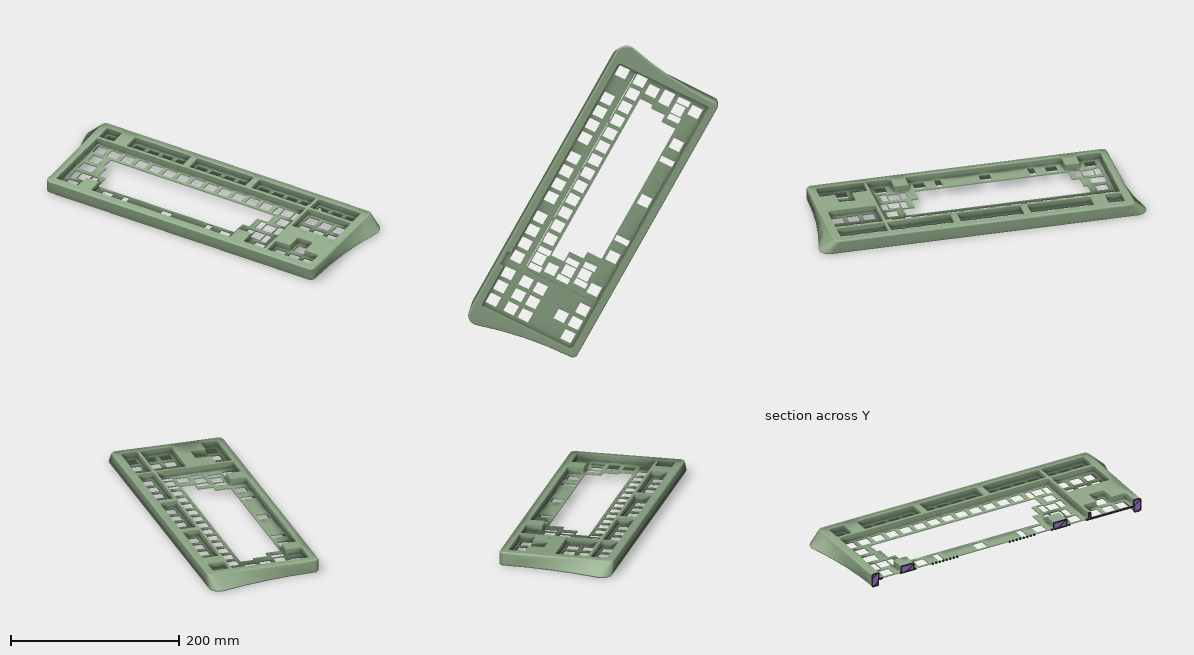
import cadquery as cq
import math

overall_width = 401.11
depth = 140.01
height = 17.0
body_width = 368.3
edge_fillet = 2.0
body_corner_radius = 6.05
wing_corner_radius = 13.15
foot_height = 2.05

unit = 19.05
switch_hole = 14.0
grid_columns = 18.25
function_gap = 0.25
pocket_margin = 0.72
ledge_margin = 0.475
ledge_height = 0.75
pocket_corner_radius = 1.665

plate_top = 9.0
plate_thickness = 1.5
plate_bottom = plate_top - plate_thickness
alpha_inset = 1.05

overcut = 1.0

cavity_width = 352.0
cavity_depth = 122.0
cavity_corner_radius = 4.05
notch_width = 20.0
notch_depth = 4.5
notch_column = 14.35

stabilizer_width = 7.86
stabilizer_short = 7.0
stabilizer_long = 9.0
stabilizer_offset = 11.94
spacebar_offset = 57.15

flex_width = 1.0
flex_end_gap = 3.7
flex_bridge = 4.8
top_slot_count = 4
space_slot_length = 66.0
alt_slot_length = 16.5

ESC_X = -(grid_columns - 1) * unit / 2
NAV_COLUMN = 15.25
ROW_DROPS = [0, 1 + function_gap, 2 + function_gap, 3 + function_gap, 4 + function_gap, 5 + function_gap]
FUNCTION, NUMBER, TAB, HOME, SHIFT, BOTTOM = range(6)
MAIN_COLUMNS = 15


def key_x(column):
    return ESC_X + column * unit


def key_y(row):
    return (ROW_DROPS[BOTTOM] / 2 - ROW_DROPS[row]) * unit


def box(x_min, x_max, y_min, y_max, z_min, z_max):
    """Axis-aligned block between the given limits."""
    size = (x_max - x_min, y_max - y_min, z_max - z_min)
    return cq.Workplane("XY").box(*size, centered=False).translate((x_min, y_min, z_min))


def through_plate(x_min, x_max, y_min, y_max):
    """Cutter through the switch plate only."""
    return box(x_min, x_max, y_min, y_max, plate_bottom - overcut, plate_top + overcut)


def cell_block(first, last, top_row, bottom_row, margin, floor):
    """Cutter around the 1u cells from column first to last, open above the floor."""
    reach = unit / 2 + margin
    block = box(
        key_x(first) - reach,
        key_x(last) + reach,
        key_y(bottom_row) - reach,
        key_y(top_row) + reach,
        floor,
        height + overcut,
    )
    return block.edges("|Z").fillet(pocket_corner_radius)


def body_outline(z):
    """Rounded rectangle of the top rim, drawn corner by corner."""
    x = body_width / 2
    y = depth / 2
    r = body_corner_radius
    bend = r * (1 - math.sqrt(0.5))
    return (
        cq.Workplane("XY", origin=(0, 0, z))
        .moveTo(-x + r, -y)
        .lineTo(x - r, -y)
        .threePointArc((x - bend, -y + bend), (x, -y + r))
        .lineTo(x, y - r)
        .threePointArc((x - bend, y - bend), (x - r, y))
        .lineTo(-x + r, y)
        .threePointArc((-x + bend, y - bend), (-x, y - r))
        .lineTo(-x, -y + r)
        .threePointArc((-x + bend, -y + bend), (-x + r, -y))
        .close()
    )


def wing_outline(z):
    """Body outline whose sides sweep outwards in hollow arcs to large rear corners."""
    x = body_width / 2
    y = depth / 2
    r = body_corner_radius
    bend = r * (1 - math.sqrt(0.5))
    big = wing_corner_radius
    corner_x = overall_width / 2 - big
    corner_y = y - big
    rise = corner_y - (-y + r)
    flare = corner_x - x
    flank_radius = (rise**2 + flare**2 - big**2) / (2 * (big + flare))
    sweep = math.asin(rise / (flank_radius + big))
    flank_x = x + flank_radius
    flank_mid = (
        flank_x - flank_radius * math.cos(sweep / 2),
        -y + r + flank_radius * math.sin(sweep / 2),
    )
    flank_end = (corner_x + big * math.cos(sweep), corner_y - big * math.sin(sweep))
    corner_angle = (math.pi / 2 - sweep) / 2
    corner_mid = (corner_x + big * math.cos(corner_angle), corner_y + big * math.sin(corner_angle))
    return (
        cq.Workplane("XY", origin=(0, 0, z))
        .moveTo(-x + r, -y)
        .lineTo(x - r, -y)
        .threePointArc((x - bend, -y + bend), (x, -y + r))
        .threePointArc(flank_mid, flank_end)
        .threePointArc(corner_mid, (corner_x, y))
        .lineTo(-corner_x, y)
        .threePointArc((-corner_mid[0], corner_mid[1]), (-flank_end[0], flank_end[1]))
        .threePointArc((-flank_mid[0], flank_mid[1]), (-x, -y + r))
        .threePointArc((-x + bend, -y + bend), (-x + r, -y))
        .close()
    )


def make_shell():
    foot = wing_outline(0).extrude(foot_height).faces("<Z").edges().fillet(edge_fillet)
    lower = wing_outline(foot_height).wires().val()
    upper = body_outline(height).wires().val()
    flared = cq.Workplane(cq.Solid.makeLoft([lower, upper], True))
    flared = flared.faces(">Z").edges().fillet(edge_fillet)
    return foot.union(flared)


def make_cavity():
    notch_x = key_x(notch_column)
    notch = box(
        notch_x - notch_width / 2,
        notch_x + notch_width / 2,
        0,
        cavity_depth / 2 + notch_depth,
        0,
        plate_bottom,
    )
    cavity = (
        cq.Workplane("XY")
        .rect(cavity_width, cavity_depth)
        .extrude(plate_bottom)
        .edges("|Z")
        .fillet(cavity_corner_radius)
    )
    return cavity.union(notch)


def pocket_blocks():
    """(first column, last column, top row, bottom row) of every stretch of key cells."""
    nav_end = NAV_COLUMN + 2
    arrow_up = NAV_COLUMN + 1
    main_end = MAIN_COLUMNS - 1
    return (
        (0, 0, FUNCTION, FUNCTION),
        (2, 5, FUNCTION, FUNCTION),
        (6.5, 9.5, FUNCTION, FUNCTION),
        (11, 14, FUNCTION, FUNCTION),
        (NAV_COLUMN, nav_end, FUNCTION, FUNCTION),
        (NAV_COLUMN, nav_end, NUMBER, TAB),
        (NAV_COLUMN, nav_end, BOTTOM, BOTTOM),
        (arrow_up, arrow_up, SHIFT, BOTTOM),
        (0, main_end, NUMBER, SHIFT),
        (0, 0.5, SHIFT, BOTTOM),
        (2.5, 11.5, SHIFT, BOTTOM),
        (13.5, main_end, SHIFT, BOTTOM),
    )


def make_pockets(margin, floor):
    pockets = cq.Workplane("XY")
    for block in pocket_blocks():
        pockets = pockets.add(cell_block(*block, margin, floor))
    return pockets.combine()


def switch_positions():
    """(column, row) of every plain switch hole."""
    places = [(0, FUNCTION)]
    for first in (2, 6.5, 11):
        places += [(first + step, FUNCTION) for step in range(4)]
    for step in range(3):
        places += [(NAV_COLUMN + step, row) for row in (FUNCTION, NUMBER, TAB, BOTTOM)]
    places.append((NAV_COLUMN + 1, SHIFT))
    places += [(column, NUMBER) for column in range(13)]
    places += [(13.5, NUMBER), (0.25, TAB), (13.75, TAB)]
    places += [(0.125, HOME), (0.375, HOME), (13.375, HOME)]
    places += [(0.625, SHIFT), (13.125, SHIFT)]
    places += [(column, BOTTOM) for column in (0.25, 2.75, 7, 11.25, 13.75)]
    return places


def make_switch_holes():
    half = switch_hole / 2
    holes = cq.Workplane("XY")
    for column, row in switch_positions():
        x = key_x(column)
        y = key_y(row)
        holes = holes.add(through_plate(x - half, x + half, y - half, y + half))
    return holes.combine()


def make_stabilizers():
    """Pairs of slots beside the wide keys: column, row, offset, reach up, reach down."""
    pairs = (
        (13.5, NUMBER, stabilizer_offset, stabilizer_short, stabilizer_long),
        (13.375, HOME, stabilizer_offset, stabilizer_long, stabilizer_short),
        (0.625, SHIFT, stabilizer_offset, stabilizer_short, stabilizer_long),
        (13.125, SHIFT, stabilizer_offset, stabilizer_short, stabilizer_long),
        (7, BOTTOM, spacebar_offset, stabilizer_long, stabilizer_long),
    )
    half = stabilizer_width / 2
    slots = cq.Workplane("XY")
    for column, row, offset, up, down in pairs:
        for side in (-1, 1):
            x = key_x(column) + side * offset
            y = key_y(row)
            slots = slots.add(through_plate(x - half, x + half, y - down, y + up))
    return slots.combine()


def make_letter_opening():
    """Stepped opening under the letter keys, one step per row, inset from the key cells."""
    steps = ((TAB, 1.5, 12.5), (HOME, 1.75, 11.75), (SHIFT, 2.25, 11.25))
    side = unit / 2 - alpha_inset
    top = key_y(TAB) + side
    opening = cq.Workplane("XY")
    for row, first, last in steps:
        bottom = key_y(row) - unit / 2 + alpha_inset
        opening = opening.add(through_plate(key_x(first) - side, key_x(last) + side, bottom, top))
        top = bottom
    return opening.combine()


def make_flex_slots():
    """Thin slots that follow the edge of the main block's key cells."""
    reach = unit / 2
    left = key_x(0) - reach
    right = key_x(MAIN_COLUMNS - 1) + reach
    top = key_y(NUMBER) + reach
    bottom = key_y(BOTTOM) - reach
    slots = cq.Workplane("XY")
    for x in (left, right - flex_width):
        slots = slots.add(through_plate(x, x + flex_width, bottom + flex_end_gap, top - flex_end_gap))
    clear = right - left - 2 * flex_end_gap
    length = (clear - (top_slot_count - 1) * flex_bridge) / top_slot_count
    for index in range(top_slot_count):
        start = left + flex_end_gap + index * (length + flex_bridge)
        slots = slots.add(through_plate(start, start + length, top - flex_width, top))
    ctrl_slot = 1.5 * unit - 2 * flex_end_gap
    for column, slot in (
        (0.25, ctrl_slot),
        (2.75, alt_slot_length),
        (7, space_slot_length),
        (11.25, alt_slot_length),
        (13.75, ctrl_slot),
    ):
        x = key_x(column)
        slots = slots.add(through_plate(x - slot / 2, x + slot / 2, bottom, bottom + flex_width))
    return slots.combine()


result = make_shell().cut(make_cavity())
result = result.cut(make_pockets(pocket_margin, plate_top + ledge_height))
result = result.cut(make_pockets(ledge_margin, plate_top))
result = result.cut(make_switch_holes())
result = result.cut(make_stabilizers())
result = result.cut(make_letter_opening())
result = result.cut(make_flex_slots())